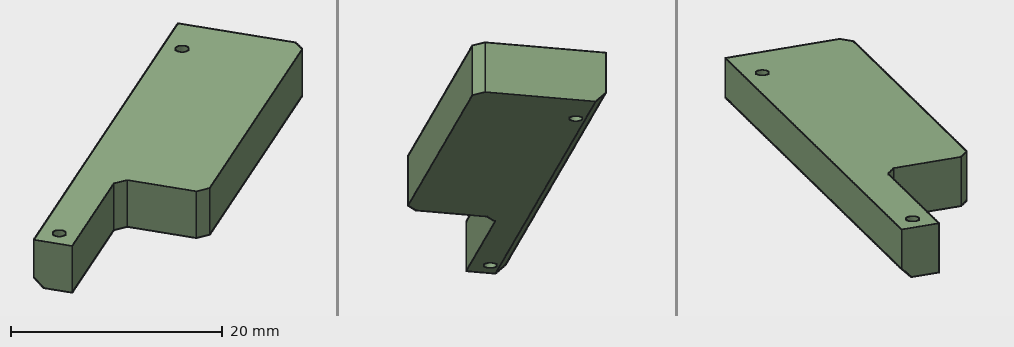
import cadquery as cq

width = 12.7
length = 43.5
thickness = 5.1

arm_width = 3.83
arm_length = 13.55

bevel = 1.0

hole_diameter = 1.25
hole_x = arm_width / 2
arm_hole_y = hole_x
body_hole_y = length - 4.52


def plate():
    """Wide body with a narrow arm, flush along the X = 0 side."""
    outline = [
        (0, 0),
        (arm_width, 0),
        (arm_width, arm_length - bevel),
        (arm_width + bevel, arm_length),
        (width - bevel, arm_length),
        (width, arm_length + bevel),
        (width, length - bevel),
        (width - bevel, length),
        (0, length),
    ]
    return cq.Workplane("XY").polyline(outline).close().extrude(thickness)


def bevel_long_bottom_edge(body):
    return body.faces("<X").edges("<Z").chamfer(bevel)


def drill_holes(body):
    hole_centres = [(hole_x, arm_hole_y), (hole_x, body_hole_y)]
    holes = (
        cq.Workplane("XY")
        .pushPoints(hole_centres)
        .circle(hole_diameter / 2)
        .extrude(thickness)
    )
    return body.cut(holes)


result = drill_holes(bevel_long_bottom_edge(plate()))